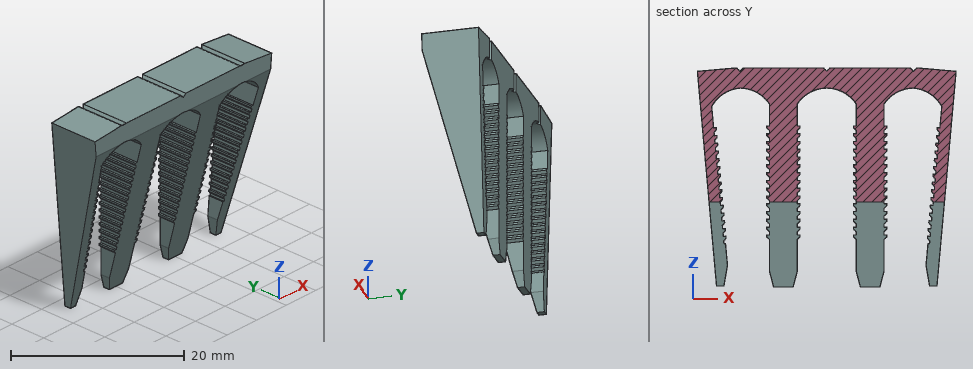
import cadquery as cq
import math

length = 29.93
depth = 6.85
height = 25.35
half_length = length / 2

lean = math.radians(5.1)
groove_spacing = 10.03
end_section_length = 4.52
end_drop = end_section_length * math.tan(lean)

slope_top = 22.93
tip_depth = 0.87

arch_top = 23.0
arch_spring = 21.2

leg_center = groove_spacing / 2
leg_width = 3.25
leg_half_width = leg_width / 2
leg_tip_half_width = 1.15
leg_taper_start = 1.9
first_tooth = 18.65

end_leg_width = 1.32
end_leg_low_step = 0.18
end_leg_low_width = end_leg_width + end_leg_low_step
end_leg_tip_width = 0.87
end_spring_along = 4.2
end_first_tooth = 6.67
end_low_start = 20.1
end_taper_start = 22.65
end_leg_length = 24.93
end_inner_length = end_leg_length + end_leg_tip_width * math.tan(lean)

tooth_count = 15
tooth_row_length = 12.6
tooth_pitch = tooth_row_length / (tooth_count - 1)
tooth_reach = 0.3
tooth_land = 0.25
tooth_height = tooth_land + tooth_reach

groove_depth = 0.4


def end_point(along, across):
    """Point on the left end leg, in X and Z."""
    x = -half_length + along * math.sin(lean) + across * math.cos(lean)
    z = height - end_drop - along * math.cos(lean) + across * math.sin(lean)
    return x, z


def prism(outline):
    """Outline in X and Z, extruded over the full depth."""
    return outline.close().extrude(-depth)


def half_body():
    """Left half of the comb without teeth: end leg, middle leg and half of the bar."""
    outer_side = -leg_center - leg_half_width
    inner_side = -leg_center + leg_half_width
    arch_radius = (inner_side**2 + (arch_top - arch_spring) ** 2) / (2 * (arch_top - arch_spring))
    outline = (
        cq.Workplane("XZ")
        .moveTo(0, height)
        .lineTo(end_section_length - half_length, height)
        .lineTo(*end_point(0, 0))
        .lineTo(*end_point(end_leg_length, 0))
        .lineTo(*end_point(end_inner_length, end_leg_tip_width))
        .lineTo(*end_point(end_taper_start, end_leg_low_width))
        .lineTo(*end_point(end_low_start, end_leg_low_width))
        .lineTo(*end_point(end_low_start, end_leg_width))
        .lineTo(*end_point(end_spring_along, end_leg_width))
        .radiusArc((-groove_spacing, arch_top), arch_radius)
        .radiusArc((outer_side, arch_spring), arch_radius)
        .lineTo(outer_side, leg_taper_start)
        .lineTo(-leg_center - leg_tip_half_width, 0)
        .lineTo(-leg_center + leg_tip_half_width, 0)
        .lineTo(inner_side, leg_taper_start)
        .lineTo(inner_side, arch_spring)
        .radiusArc((0, arch_top), arch_radius)
    )
    return prism(outline)


def tooth_row(place):
    """Row of teeth, flat on top and sloped below; place(down, out) gives a point in X and Z."""
    root = -tooth_reach
    row = cq.Workplane("XZ")
    profile = [
        (0, root),
        (0, tooth_reach),
        (tooth_land, tooth_reach),
        (tooth_height, 0),
        (tooth_height, root),
    ]
    for index in range(tooth_count):
        top = index * tooth_pitch
        points = [place(top + down, out) for down, out in profile]
        row = row.add(prism(cq.Workplane("XZ").polyline(points)))
    return row.combine()


def middle_leg_teeth(side):
    """Teeth on one side of the left middle leg: -1 for its left side, 1 for its right."""
    return tooth_row(
        lambda down, out: (-leg_center + side * (leg_half_width + out), first_tooth - down)
    )


def end_leg_teeth():
    return tooth_row(lambda down, out: end_point(end_first_tooth + down, end_leg_width + out))


def front_slope():
    """Wedge that thins the legs from the bar down to their tips."""
    return (
        cq.Workplane("YZ")
        .polyline([(0, slope_top), (0, 0), (depth - tip_depth, 0)])
        .close()
        .extrude(half_length, both=True)
    )


def top_groove(x, open_front):
    """V groove across the top; a closed one rises to the front edge at 45 degrees."""
    groove = prism(
        cq.Workplane("XZ").polyline(
            [(x - groove_depth, height), (x, height - groove_depth), (x + groove_depth, height)]
        )
    )
    if open_front:
        return groove
    front_ramp = (
        cq.Workplane("YZ")
        .polyline([(0, height), (0, height - groove_depth), (groove_depth, height - groove_depth)])
        .close()
        .extrude(length, both=True)
    )
    return groove.cut(front_ramp)


def back_groove(x):
    """V groove down the back of the bar, ending in the arch below it."""
    return (
        cq.Workplane("XY")
        .polyline([(x - groove_depth, depth), (x, depth - groove_depth), (x + groove_depth, depth)])
        .close()
        .extrude(height)
    )


half = half_body().union(end_leg_teeth())
for side in (-1, 1):
    half = half.union(middle_leg_teeth(side))
result = half.union(half.mirror("YZ"))
result = result.cut(front_slope())
for x in (-groove_spacing, 0, groove_spacing):
    result = result.cut(top_groove(x, open_front=x == 0))
    result = result.cut(back_groove(x))